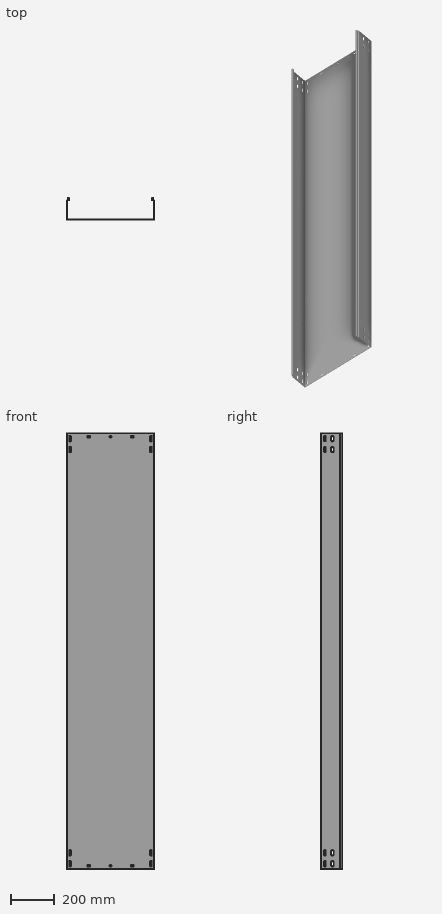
import cadquery as cq

LENGTH = 2000.0
WIDTH = 400.0
DEPTH = 100.0
SHEET = 2.0

SHOULDER_HEIGHT = 90.0
SHOULDER_RADIUS = 5.0
BEAD_WIDTH = 5.0
BEAD_BOTTOM = 88.0

SLOT_LENGTH = 25.0
SLOT_ROWS = (25.0, 75.0)
NARROW_SLOT = 7.0
WIDE_SLOT = 11.0
BASE_SLOT_INSET = 15.0
NARROW_SLOT_HEIGHT = 20.0
WIDE_SLOT_HEIGHT = 55.0

JOINT_ROW = 15.0
JOINT_SPACING = 100.0
JOINT_HOLE = 7.0
JOINT_SLOT_LENGTH = 13.0

HALF_WIDTH = WIDTH / 2
HALF_LENGTH = LENGTH / 2
ALONG_Z = 90
ALONG_X = 0


def make_wall():
    """Left side wall: rounded shoulder on the outside, then a round-topped bead."""
    outer = -HALF_WIDTH
    inner = outer + SHEET
    shoulder_start = SHOULDER_HEIGHT - SHOULDER_RADIUS
    shoulder_end = outer + SHOULDER_RADIUS
    bead_radius = BEAD_WIDTH / 2
    bead_inner = shoulder_end + BEAD_WIDTH
    bead_spring = DEPTH - bead_radius
    return (
        cq.Workplane("XY")
        .workplane(offset=-HALF_LENGTH)
        .moveTo(outer, 0)
        .lineTo(outer, shoulder_start)
        .radiusArc((shoulder_end, SHOULDER_HEIGHT), SHOULDER_RADIUS)
        .lineTo(shoulder_end, bead_spring)
        .threePointArc((shoulder_end + bead_radius, DEPTH), (bead_inner, bead_spring))
        .lineTo(bead_inner, BEAD_BOTTOM)
        .lineTo(inner, BEAD_BOTTOM)
        .lineTo(inner, 0)
        .close()
        .extrude(LENGTH)
    )


def make_channel():
    """Flat base joined to two mirrored side walls."""
    base = cq.Workplane("XY").box(WIDTH, SHEET, LENGTH, centered=(True, False, True))
    wall = make_wall()
    return base.union(wall).union(wall.mirror("YZ"))


def base_plane(points):
    """Hole centres at (x, z) points on the outside of the base."""
    return cq.Workplane("XZ").pushPoints(points)


def wall_plane(points):
    """Hole centres at (y, z) points on the middle plane between the walls."""
    return cq.Workplane("YZ").pushPoints(points)


def both_ends(distance):
    """Z positions at the given distance from each end."""
    return (distance - HALF_LENGTH, HALF_LENGTH - distance)


def both_sides(distance, levels):
    """(x, z) points at the given distance either side of the centre line."""
    return [(x, z) for x in (-distance, distance) for z in levels]


slot_levels = [z for row in SLOT_ROWS for z in both_ends(row)]
joint_levels = both_ends(JOINT_ROW)

result = make_channel()

edge_slots = base_plane(both_sides(HALF_WIDTH - BASE_SLOT_INSET, slot_levels))
result = result.cut(edge_slots.slot2D(SLOT_LENGTH, NARROW_SLOT, ALONG_Z).extrude(SHEET, both=True))

joint_slots = base_plane(both_sides(JOINT_SPACING, joint_levels))
result = result.cut(joint_slots.slot2D(JOINT_SLOT_LENGTH, JOINT_HOLE, ALONG_X).extrude(SHEET, both=True))
joint_holes = base_plane([(0, z) for z in joint_levels])
result = result.cut(joint_holes.circle(JOINT_HOLE / 2).extrude(SHEET, both=True))

for height, slot_width in ((NARROW_SLOT_HEIGHT, NARROW_SLOT), (WIDE_SLOT_HEIGHT, WIDE_SLOT)):
    wall_slots = wall_plane([(height, z) for z in slot_levels])
    result = result.cut(wall_slots.slot2D(SLOT_LENGTH, slot_width, ALONG_Z).extrude(WIDTH, both=True))